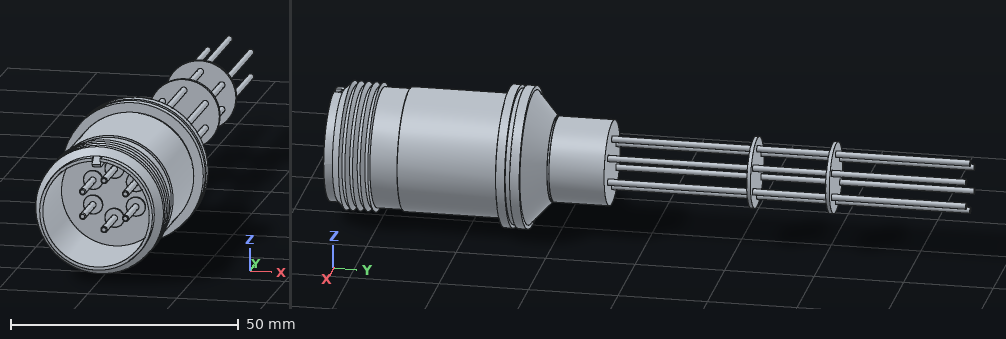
import cadquery as cq
import math

total_length = 142.1
mouth_y = -total_length / 2
wire_end_y = total_length / 2

sleeve_radius = 9.5
flange_radius = 31.7 / 2
flange_groove_radius = 15.0
cone_top_radius = 14.9
undercut_depth = 0.3
body_radius = 13.8
neck_radius = 13.4
thread_crest_radius = 14.4
thread_root_radius = neck_radius
rim_radius = 12.6
bore_radius = 12.0

sleeve_end_y = -9.0
cone_start_y = -21.7
flange_back_y = -26.7
flange_groove_back_y = -28.8
flange_groove_front_y = -30.0
flange_front_y = -32.0
neck_start_y = -54.4
undercut_width = 0.4

thread_pitch = 1.7
thread_ring_count = 5
first_crest_y = -60.8
first_flank = 0.3
last_crest_shift = 0.3
last_crest_y = first_crest_y - (thread_ring_count - 1) * thread_pitch + last_crest_shift
rim_back_y = last_crest_y - (thread_crest_radius - rim_radius)

contact_count = 6
contact_circle_radius = 5.5
insert_face_y = -51.2
boss_radius = 2.1
boss_height = 0.4
pin_radius = 0.7
pin_tip_radius = 0.5
pin_length = 11.5
wire_radius = 0.7
wire_embedding = 1.4

disc_radius = 8.0
disc_thickness = 0.9
disc_centers_y = (40.6, 23.0)

key_width = 1.8
key_inner_radius = 10.5
key_nose_radius = 11.2


def cylinder_along_y(radius, start_y, end_y, x=0.0, z=0.0):
    """Cylinder parallel to Y, from start_y to end_y (end_y > start_y)."""
    base = cq.Workplane("XZ", origin=(x, start_y, z))
    return base.circle(radius).extrude(start_y - end_y)


def thread_points():
    """Thread outline from the neck to the last crest, as (radius, y)."""
    points = [(thread_root_radius, first_crest_y + first_flank)]
    for ring in range(thread_ring_count - 1):
        crest_y = first_crest_y - ring * thread_pitch
        points.append((thread_crest_radius, crest_y))
        points.append((thread_root_radius, crest_y - thread_pitch / 2))
    points.append((thread_crest_radius, last_crest_y))
    return points


def make_shell():
    """Shell revolved about Y from its (radius, y) outline, with the blind bore and insert face."""
    outline = [
        (0, sleeve_end_y),
        (sleeve_radius, sleeve_end_y),
        (sleeve_radius, cone_start_y + undercut_width),
        (sleeve_radius - undercut_depth, cone_start_y + undercut_width),
        (sleeve_radius - undercut_depth, cone_start_y),
        (sleeve_radius, cone_start_y),
        (cone_top_radius, flange_back_y),
        (flange_radius, flange_back_y),
        (flange_radius, flange_groove_back_y),
        (flange_groove_radius, flange_groove_back_y),
        (flange_groove_radius, flange_groove_front_y),
        (flange_radius, flange_groove_front_y),
        (flange_radius, flange_front_y),
        (body_radius - undercut_depth, flange_front_y),
        (body_radius - undercut_depth, flange_front_y - undercut_width),
        (body_radius, flange_front_y - undercut_width),
        (body_radius, neck_start_y),
        (neck_radius, neck_start_y),
    ]
    outline += thread_points()
    outline += [
        (rim_radius, rim_back_y),
        (rim_radius, mouth_y),
        (bore_radius, mouth_y),
        (bore_radius, insert_face_y),
        (0, insert_face_y),
    ]
    return cq.Workplane("XY").polyline(outline).close().revolve(360, (0, 0, 0), (0, 1, 0))


def add_key(shell):
    """Key along the top of the bore; its nose slopes back out through the rim."""
    key_outer_radius = (bore_radius + rim_radius) / 2
    key_profile = [
        (mouth_y, key_outer_radius),
        (mouth_y, key_nose_radius),
        (mouth_y + key_nose_radius - key_inner_radius, key_inner_radius),
        (insert_face_y, key_inner_radius),
        (insert_face_y, key_outer_radius),
    ]
    ramp_profile = [
        (mouth_y, key_nose_radius),
        (mouth_y, rim_radius),
        (rim_back_y, rim_radius),
    ]
    half_width = key_width / 2
    key = cq.Workplane("YZ").polyline(key_profile).close().extrude(half_width, both=True)
    ramp = cq.Workplane("YZ").polyline(ramp_profile).close().extrude(half_width, both=True)
    return shell.union(key).cut(ramp)


def make_pin(x, z):
    """Boss on the insert face with a taper-tipped pin standing on it."""
    boss_face_y = insert_face_y - boss_height
    boss = cylinder_along_y(boss_radius, boss_face_y, insert_face_y, x, z)
    pin = cylinder_along_y(pin_radius, insert_face_y - pin_length, insert_face_y, x, z)
    pin = pin.faces("<Y").chamfer(pin_radius - pin_tip_radius)
    return boss.union(pin)


def make_wire(x, z):
    return cylinder_along_y(wire_radius, sleeve_end_y - wire_embedding, wire_end_y, x, z)


def make_disc(center_y):
    half_thickness = disc_thickness / 2
    return cylinder_along_y(disc_radius, center_y - half_thickness, center_y + half_thickness)


result = add_key(make_shell())

for index in range(contact_count):
    angle = math.radians(90 + index * 360 / contact_count)
    contact_x = contact_circle_radius * math.cos(angle)
    contact_z = contact_circle_radius * math.sin(angle)
    result = result.union(make_pin(contact_x, contact_z))
    result = result.union(make_wire(contact_x, contact_z))

for disc_center_y in disc_centers_y:
    result = result.union(make_disc(disc_center_y))